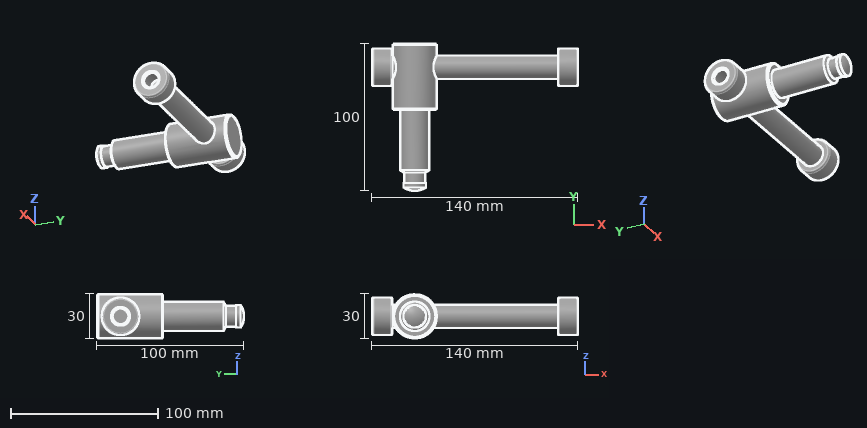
import cadquery as cq
import math

BODY_DIAMETER = 30.0
BODY_LENGTH = 45.0
BODY_CHAMFER = 1.0

OVERALL_LENGTH = 100.0
SPINDLE_DIAMETER = 20.0
SPINDLE_CHAMFER_ANGLE = 30.0
NECK_DIAMETER = 14.4
NECK_LENGTH = 7.0
COLLAR_DIAMETER = 15.5
COLLAR_LENGTH = 3.0
DOME_HEIGHT = 2.5

BAR_LENGTH = 140.0
BAR_DIAMETER = 16.0
BAR_SETBACK = 16.0
BAR_OVERHANG = 29.0
KNOB_DIAMETER = 25.6
KNOB_LENGTH = 13.8
KNOB_FILLET = 1.28

HOLE_DIAMETER = 10.67
HOLE_MOUTH_DIAMETER = 12.8


def make_body():
    """Handle body with chamfered ends, extruded toward -Y."""
    body = cq.Workplane("XZ").circle(BODY_DIAMETER / 2).extrude(BODY_LENGTH)
    return body.faces("<Y or >Y").chamfer(BODY_CHAMFER)


def make_spindle():
    """Revolved spindle: shaft, neck, collar and domed tip."""
    tip_y = -OVERALL_LENGTH
    dome_y = tip_y + DOME_HEIGHT
    collar_y = dome_y + COLLAR_LENGTH
    neck_y = collar_y + NECK_LENGTH
    chamfer_width = (SPINDLE_DIAMETER - NECK_DIAMETER) / 2
    chamfer_y = neck_y + chamfer_width * math.tan(math.radians(SPINDLE_CHAMFER_ANGLE))
    collar_radius = COLLAR_DIAMETER / 2
    dome_radius = (collar_radius**2 + DOME_HEIGHT**2) / (2 * DOME_HEIGHT)
    dome_mid_x = collar_radius / 2
    dome_mid_y = tip_y + dome_radius - math.sqrt(dome_radius**2 - dome_mid_x**2)

    profile = (
        cq.Workplane("XY")
        .moveTo(0, -BODY_LENGTH / 2)
        .lineTo(SPINDLE_DIAMETER / 2, -BODY_LENGTH / 2)
        .lineTo(SPINDLE_DIAMETER / 2, chamfer_y)
        .lineTo(NECK_DIAMETER / 2, neck_y)
        .lineTo(NECK_DIAMETER / 2, collar_y)
        .lineTo(collar_radius, collar_y)
        .lineTo(collar_radius, dome_y)
        .threePointArc((dome_mid_x, dome_mid_y), (0, tip_y))
        .close()
    )
    return profile.revolve(360, (0, 0, 0), (0, 1, 0))


def make_knob():
    """Knob along +X from X = 0, with rounded rims."""
    knob = cq.Workplane("YZ").circle(KNOB_DIAMETER / 2).extrude(KNOB_LENGTH)
    return knob.edges().fillet(KNOB_FILLET)


def make_knob_hole():
    """Cutter for a knob hole: chamfered mouth at X = 0, bottom at X = KNOB_LENGTH."""
    chamfer = (HOLE_MOUTH_DIAMETER - HOLE_DIAMETER) / 2
    profile = (
        cq.Workplane("XY")
        .lineTo(0, HOLE_MOUTH_DIAMETER / 2)
        .lineTo(chamfer, HOLE_DIAMETER / 2)
        .lineTo(KNOB_LENGTH, HOLE_DIAMETER / 2)
        .lineTo(KNOB_LENGTH, 0)
        .close()
    )
    return profile.revolve(360, (0, 0, 0), (1, 0, 0))


def make_half_bar():
    """Half of the cross bar, from its outer end at X = 0 to its middle."""
    rod_length = BAR_LENGTH / 2 - KNOB_LENGTH
    rod = (
        cq.Workplane("YZ", origin=(KNOB_LENGTH, 0, 0))
        .circle(BAR_DIAMETER / 2)
        .extrude(rod_length)
    )
    return make_knob().union(rod).cut(make_knob_hole())


bar_start_x = -BAR_OVERHANG
bar_middle_x = bar_start_x + BAR_LENGTH / 2

left_half = make_half_bar().translate((bar_start_x, -BAR_SETBACK, 0))
right_half = left_half.mirror("YZ", (bar_middle_x, 0, 0))
bar = left_half.union(right_half)

result = make_body().union(make_spindle()).union(bar).clean()